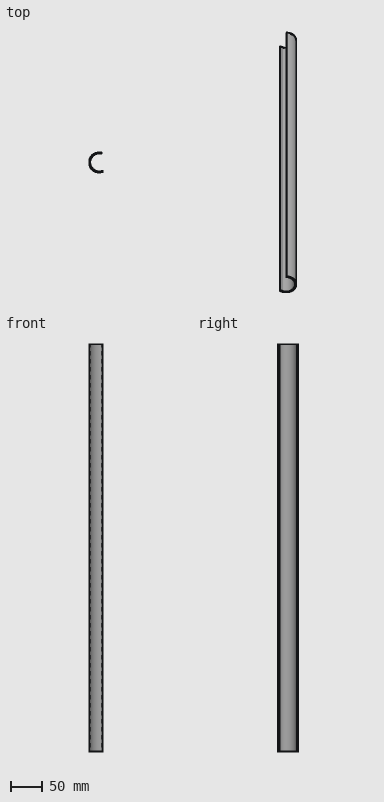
import math

import cadquery as cq

length = 649.0
depth_x = 22.21
outer_radius = 16.2
wall = 2.0
front_wrap_angle = 11.0
back_wrap_angle = 11.4
back_lip_length = 0.8

inner_radius = outer_radius - wall
front_tip_x = depth_x - outer_radius
front_arc_end_x = outer_radius * math.sin(math.radians(front_wrap_angle))
front_lip_length = (front_tip_x - front_arc_end_x) / math.cos(math.radians(front_wrap_angle))


def edge_point(side, radius, wrap_angle, lip_length=0.0):
    """Point on a wall surface at the arc end, or lip_length further along its tangent.

    side is +1 for the +Y edge of the channel and -1 for the -Y edge.
    """
    angle = math.radians(wrap_angle)
    x = radius * math.sin(angle) + lip_length * math.cos(angle)
    y = radius * math.cos(angle) - lip_length * math.sin(angle)
    return (x, side * y)


def channel_section():
    """Cross-section: an arc open toward +X that ends in two straight tangent lips."""
    front = (-1, front_wrap_angle, front_lip_length)
    back = (1, back_wrap_angle, back_lip_length)

    def arc_end(edge, radius):
        side, wrap_angle, _ = edge
        return edge_point(side, radius, wrap_angle)

    def lip_tip(edge, radius):
        side, wrap_angle, lip_length = edge
        return edge_point(side, radius, wrap_angle, lip_length)

    return (
        cq.Workplane("XY")
        .moveTo(*lip_tip(back, outer_radius))
        .lineTo(*arc_end(back, outer_radius))
        .threePointArc((-outer_radius, 0), arc_end(front, outer_radius))
        .lineTo(*lip_tip(front, outer_radius))
        .lineTo(*lip_tip(front, inner_radius))
        .lineTo(*arc_end(front, inner_radius))
        .threePointArc((-inner_radius, 0), arc_end(back, inner_radius))
        .lineTo(*lip_tip(back, inner_radius))
        .close()
    )


result = channel_section().extrude(length)